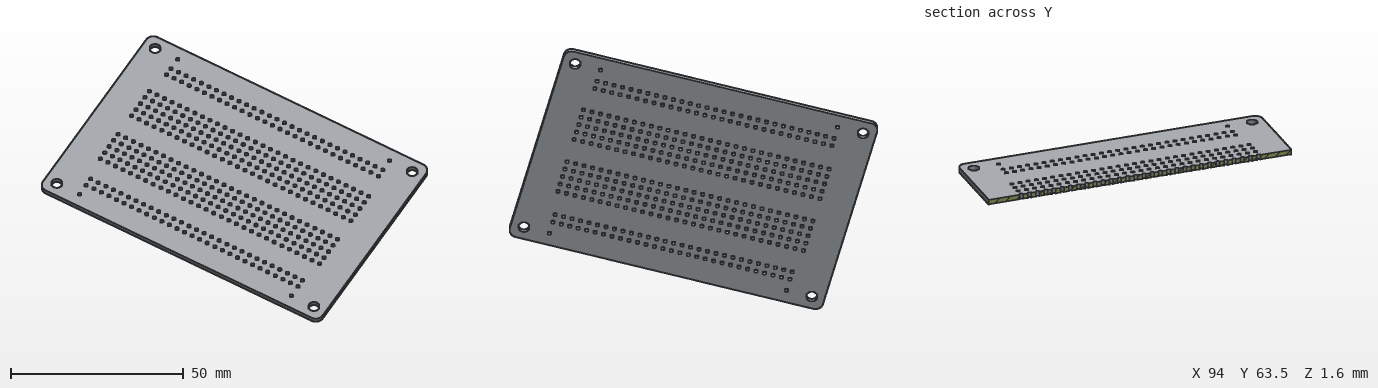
import cadquery as cq

PITCH = 2.54
BOARD_LENGTH = 37 * PITCH
BOARD_WIDTH = 25 * PITCH
BOARD_THICKNESS = 1.6
CORNER_RADIUS = 2.325

PIN_HOLE_DIAMETER = 1.02
MOUNT_HOLE_DIAMETER = 3.2

TERMINAL_COLUMNS = 30
TERMINAL_ROWS = 5
TERMINAL_CENTER_Y = 3.5 * PITCH

RAIL_COLUMNS = 29
RAIL_ROWS = 2
RAIL_CENTER_Y = 9 * PITCH

EDGE_ROW_Y = 11 * PITCH
MOUNT_X = 17 * PITCH
END_HOLE_X = (RAIL_COLUMNS - 1) / 2 * PITCH


def make_board():
    """Flat board with rounded vertical corners, its underside at Z = 0."""
    board = cq.Workplane("XY").box(
        BOARD_LENGTH, BOARD_WIDTH, BOARD_THICKNESS, centered=(True, True, False)
    )
    return board.edges("|Z").fillet(CORNER_RADIUS)


def grid_points(columns, rows, center_y):
    """Hole centres of a grid centred on X = 0 and on the given Y."""
    first_x = -(columns - 1) / 2 * PITCH
    first_y = center_y - (rows - 1) / 2 * PITCH
    return [
        (first_x + column * PITCH, first_y + row * PITCH)
        for column in range(columns)
        for row in range(rows)
    ]


def mirrored_points(x, y):
    """One point in each quadrant."""
    return [(side_x * x, side_y * y) for side_x in (-1, 1) for side_y in (-1, 1)]


def pin_hole_points():
    """Centres of all the small holes."""
    points = mirrored_points(END_HOLE_X, EDGE_ROW_Y)
    for side in (-1, 1):
        points += grid_points(TERMINAL_COLUMNS, TERMINAL_ROWS, side * TERMINAL_CENTER_Y)
        points += grid_points(RAIL_COLUMNS, RAIL_ROWS, side * RAIL_CENTER_Y)
    return points


def drill(board, points, diameter):
    """Cut through holes at the given points in one operation."""
    holes = (
        cq.Workplane("XY")
        .pushPoints(points)
        .circle(diameter / 2)
        .extrude(BOARD_THICKNESS)
    )
    return board.cut(holes)


result = make_board()
result = drill(result, mirrored_points(MOUNT_X, EDGE_ROW_Y), MOUNT_HOLE_DIAMETER)
result = drill(result, pin_hole_points(), PIN_HOLE_DIAMETER)